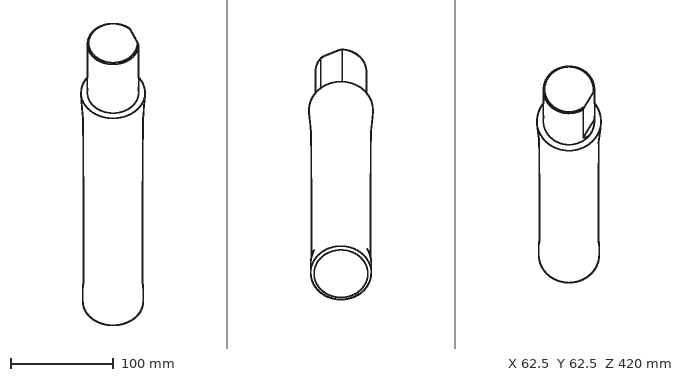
import cadquery as cq

total_height = 420.0
collar_top = 339.8
collar_band_height = 5.0
collar_taper_end = 305.5
shoulder_end = 300.3
tube_taper_end = 183.0
foot_bevel_top = 25.5
foot_top = 23.0

collar_diameter = 62.5
collar_lower_diameter = 59.5
tube_upper_diameter = 59.0
tube_diameter = 58.0
foot_diameter = 59.2
rod_diameter = 50.0

foot_chamfer_height = 1.5
foot_chamfer_width = 3.5
rod_chamfer = 1.3
flat_offset = 22.3
flat_runout_height = 7.5

bore_depth = collar_top - shoulder_end


def make_housing():
    """Turned housing with tapered collar, slightly tapered tube and chamfered foot."""
    foot_radius = foot_diameter / 2
    profile = [
        (0, 0),
        (foot_radius - foot_chamfer_width, 0),
        (foot_radius, foot_chamfer_height),
        (foot_radius, foot_top),
        (tube_diameter / 2, foot_bevel_top),
        (tube_diameter / 2, tube_taper_end),
        (tube_upper_diameter / 2, shoulder_end),
        (collar_lower_diameter / 2, collar_taper_end),
        (collar_diameter / 2, collar_top - collar_band_height),
        (collar_diameter / 2, collar_top),
        (0, collar_top),
    ]
    turned = cq.Workplane("XZ").polyline(profile).close().revolve(360, (0, 0, 0), (0, 1, 0))
    return turned.faces(">Z").workplane().hole(rod_diameter, bore_depth)


def make_flat_cutter():
    """Wedge-ended block that cuts the flat on the +Y side of the rod."""
    rod_radius = rod_diameter / 2
    profile = [
        (rod_radius, collar_top),
        (flat_offset, collar_top + flat_runout_height),
        (flat_offset, total_height),
        (rod_radius, total_height),
    ]
    return cq.Workplane("YZ").polyline(profile).close().extrude(rod_radius, both=True)


def make_rod():
    """Round rod with a chamfered top and a flat that runs out at the collar."""
    rod_bottom = collar_top - bore_depth
    rod = (
        cq.Workplane("XY", origin=(0, 0, rod_bottom))
        .circle(rod_diameter / 2)
        .extrude(total_height - rod_bottom)
        .faces(">Z")
        .chamfer(rod_chamfer)
    )
    return rod.cut(make_flat_cutter())


housing = make_housing()
rod = make_rod()
result = cq.Compound.makeCompound([housing.val(), rod.val()])